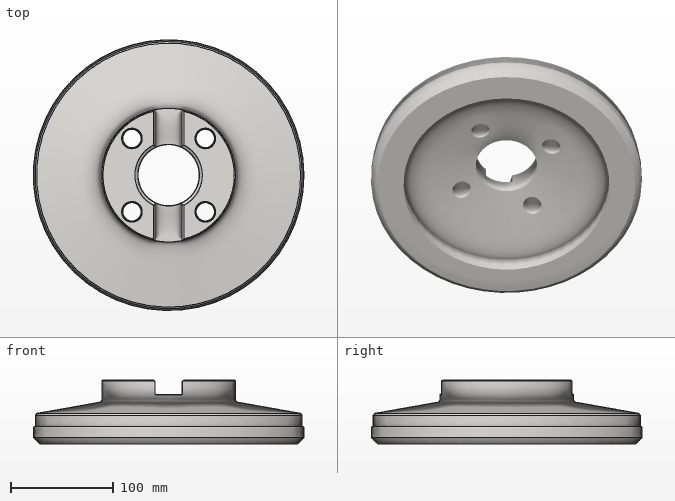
import cadquery as cq

TOTAL_HEIGHT = 62.8
OUTER_RADIUS = 132.5

UPPER_BORE_RADIUS = 60.2 / 2
LOWER_BORE_RADIUS = 60.0 / 2
BORE_CHAMFER = 3.0

INTERFACE_INNER_HEIGHT = 37.7
INTERFACE_RIM_HEIGHT = 17.5

DISC_RADIUS = 261.7 / 2
DISC_TOP_RADIUS = 258.5 / 2
DISC_TOP_HEIGHT = 30.2
RIM_CHAMFER_HEIGHT = 2.0
HUB_RADIUS = 131.0 / 2
HUB_TOP_RADIUS = 128.5 / 2
HUB_CHAMFER_HEIGHT = 0.8
HUB_FOOT_HEIGHT = 41.0
HUB_FOOT_WIDTH = 2.5
HUB_FOOT_RISE = 3.0
HUB_FOOT_MIDPOINT = 0.3

SLOT_WIDTH = 26.5
SLOT_DEPTH = 14.3
SLOT_EDGE_CHAMFER = 1.5
SLOT_FLOOR_FILLET = 1.0

BOLT_HOLE_DIAMETER = 18.0
BOLT_HOLE_CHAMFER = 1.0
BOLT_SPACING = 71.9

PLATE_THICKNESS = 5.3
RIM_INNER_RADIUS = 100.8
RIM_BOTTOM_CHAMFER = 6.5
RIM_TOP_FILLET = OUTER_RADIUS - DISC_RADIUS


def interface_height(radius):
    """Height of the conical interface at a given radius."""
    slope = (INTERFACE_INNER_HEIGHT - INTERFACE_RIM_HEIGHT) / (DISC_RADIUS - LOWER_BORE_RADIUS)
    return INTERFACE_INNER_HEIGHT - slope * (radius - LOWER_BORE_RADIUS)


def revolve_about_z(profile):
    """Revolve a closed (radius, height) profile about the Z axis."""
    return profile.close().revolve(360, (0, 0, 0), (0, 1, 0))


def bolt_positions():
    """Workplane with one point at each bolt-hole axis, on the bottom face plane."""
    return cq.Workplane("XY").rect(BOLT_SPACING, BOLT_SPACING, forConstruction=True).vertices()


def bolt_holes():
    """Four straight cutters for the bolt holes."""
    return bolt_positions().circle(BOLT_HOLE_DIAMETER / 2).extrude(TOTAL_HEIGHT)


def bolt_countersinks():
    """Four conical cutters that chamfer the bolt-hole mouths on the hub face."""
    mouth_radius = BOLT_HOLE_DIAMETER / 2 + BOLT_HOLE_CHAMFER
    cone = cq.Solid.makeCone(
        BOLT_HOLE_DIAMETER / 2,
        mouth_radius,
        BOLT_HOLE_CHAMFER,
        pnt=cq.Vector(0, 0, TOTAL_HEIGHT - BOLT_HOLE_CHAMFER),
    )
    return bolt_positions().eachpoint(lambda place: cone.moved(place))


def drive_slot():
    """Slot cutter with rounded floor corners and flared top edges."""
    floor = TOTAL_HEIGHT - SLOT_DEPTH
    length = 2 * OUTER_RADIUS
    channel = (
        cq.Workplane("XY")
        .box(SLOT_WIDTH, length, SLOT_DEPTH, centered=(True, True, False))
        .edges("|Y and <Z")
        .fillet(SLOT_FLOOR_FILLET)
        .translate((0, 0, floor))
    )
    half_width = SLOT_WIDTH / 2
    flare = (
        cq.Workplane("XZ")
        .moveTo(-half_width, TOTAL_HEIGHT - SLOT_EDGE_CHAMFER)
        .lineTo(half_width, TOTAL_HEIGHT - SLOT_EDGE_CHAMFER)
        .lineTo(half_width + SLOT_EDGE_CHAMFER, TOTAL_HEIGHT)
        .lineTo(-half_width - SLOT_EDGE_CHAMFER, TOTAL_HEIGHT)
        .close()
        .extrude(length / 2, both=True)
    )
    return channel.union(flare)


def make_hub_disc():
    """Upper body: slotted hub on a conical disc."""
    foot_midpoint = (
        HUB_RADIUS + HUB_FOOT_MIDPOINT * HUB_FOOT_WIDTH,
        HUB_FOOT_HEIGHT + HUB_FOOT_MIDPOINT * HUB_FOOT_RISE,
    )
    profile = (
        cq.Workplane("XZ")
        .moveTo(UPPER_BORE_RADIUS, interface_height(UPPER_BORE_RADIUS))
        .lineTo(DISC_RADIUS, INTERFACE_RIM_HEIGHT)
        .lineTo(DISC_RADIUS, DISC_TOP_HEIGHT - RIM_CHAMFER_HEIGHT)
        .lineTo(DISC_TOP_RADIUS, DISC_TOP_HEIGHT)
        .lineTo(HUB_RADIUS + HUB_FOOT_WIDTH, HUB_FOOT_HEIGHT)
        .threePointArc(
            foot_midpoint,
            (HUB_RADIUS, HUB_FOOT_HEIGHT + HUB_FOOT_RISE),
        )
        .lineTo(HUB_RADIUS, TOTAL_HEIGHT - HUB_CHAMFER_HEIGHT)
        .lineTo(HUB_TOP_RADIUS, TOTAL_HEIGHT)
        .lineTo(UPPER_BORE_RADIUS + BORE_CHAMFER, TOTAL_HEIGHT)
        .lineTo(UPPER_BORE_RADIUS, TOTAL_HEIGHT - BORE_CHAMFER)
    )
    return revolve_about_z(profile).cut(drive_slot()).cut(bolt_holes()).cut(bolt_countersinks())


def make_rim_plate():
    """Lower body: dished plate under the disc, ending in a thick outer rim."""
    profile = (
        cq.Workplane("XZ")
        .moveTo(LOWER_BORE_RADIUS, INTERFACE_INNER_HEIGHT)
        .lineTo(DISC_RADIUS, INTERFACE_RIM_HEIGHT)
        .radiusArc((OUTER_RADIUS, INTERFACE_RIM_HEIGHT - RIM_TOP_FILLET), RIM_TOP_FILLET)
        .lineTo(OUTER_RADIUS, RIM_BOTTOM_CHAMFER)
        .lineTo(OUTER_RADIUS - RIM_BOTTOM_CHAMFER, 0)
        .lineTo(RIM_INNER_RADIUS, 0)
        .lineTo(RIM_INNER_RADIUS, interface_height(RIM_INNER_RADIUS) - PLATE_THICKNESS)
        .lineTo(LOWER_BORE_RADIUS, INTERFACE_INNER_HEIGHT - PLATE_THICKNESS)
    )
    return revolve_about_z(profile).cut(bolt_holes())


hub_disc = make_hub_disc()
rim_plate = make_rim_plate()
result = cq.Compound.makeCompound([hub_disc.val(), rim_plate.val()])